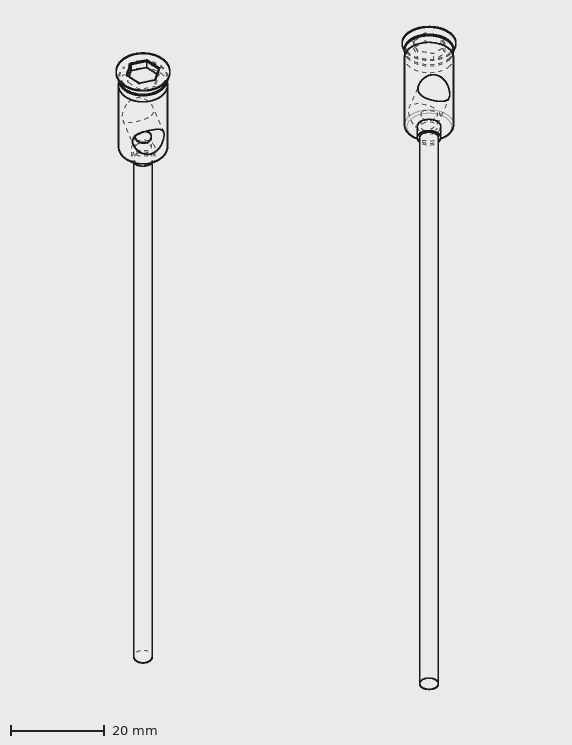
import cadquery as cq
import math

total_length = 172.5
head_length = 22.5
collar_length = 3.0

flange_diameter = 11.5
body_diameter = 10.5
groove_diameter = 9.9
collar_diameter = 5.0
shaft_diameter = 4.0

flange_rim = 0.2
ridge_depth = 1.7
ridge_height = 0.4
upper_groove_deepest = 1.1
lower_groove_width = 1.8

head_bottom_fillet = 0.5

hex_across_flats = 6.0
hex_bevel = 0.2
hex_depth = 2.0
axial_bore_diameter = 3.5
axial_bore_end_depth = head_length
cross_hole_diameter = 7.0
cross_hole_depth = 16.0


def turned_body():
    """Flanged head, collar and shaft as one revolved half profile."""
    flange_radius = flange_diameter / 2
    body_radius = body_diameter / 2
    groove_radius = groove_diameter / 2
    collar_radius = collar_diameter / 2
    shaft_radius = shaft_diameter / 2
    collar_end = head_length + collar_length
    ridge_bottom = ridge_depth + ridge_height
    lower_groove_deepest = ridge_bottom + lower_groove_width / 2
    body_top = ridge_bottom + lower_groove_width
    fillet_middle = head_bottom_fillet * (1 - math.sqrt(0.5))
    return (
        cq.Workplane("XZ")
        .lineTo(-flange_radius, 0)
        .lineTo(-flange_radius, -flange_rim)
        .threePointArc((-groove_radius, -upper_groove_deepest), (-body_radius, -ridge_depth))
        .lineTo(-body_radius, -ridge_bottom)
        .threePointArc((-groove_radius, -lower_groove_deepest), (-body_radius, -body_top))
        .lineTo(-body_radius, -(head_length - head_bottom_fillet))
        .threePointArc(
            (fillet_middle - body_radius, -(head_length - fillet_middle)),
            (head_bottom_fillet - body_radius, -head_length),
        )
        .lineTo(-collar_radius, -head_length)
        .lineTo(-collar_radius, -collar_end)
        .lineTo(-shaft_radius, -collar_end)
        .lineTo(-shaft_radius, -total_length)
        .lineTo(0, -total_length)
        .close()
        .revolve(360, (0, 0, 0), (0, 1, 0))
    )


def hexagon(across_flats):
    """Hexagon in the top face with two flats facing +X and -X."""
    across_corners = across_flats / math.cos(math.pi / 6)
    return cq.Workplane("XY").transformed(rotate=(0, 0, 90)).polygon(6, across_corners)


def hex_socket():
    """Blind hexagonal socket with a 45 degree bevel around its mouth."""
    socket = hexagon(hex_across_flats).extrude(-hex_depth)
    mouth = hexagon(hex_across_flats + 2 * hex_bevel).extrude(-hex_bevel, taper=45)
    return socket.union(mouth)


def cross_hole():
    """Round hole right through the head along X."""
    return (
        cq.Workplane("YZ")
        .center(0, -cross_hole_depth)
        .circle(cross_hole_diameter / 2)
        .extrude(body_diameter, both=True)
    )


def axial_bore():
    """Blind bore running down from the cross hole along the shaft axis."""
    return (
        cq.Workplane("XY", origin=(0, 0, -cross_hole_depth))
        .circle(axial_bore_diameter / 2)
        .extrude(cross_hole_depth - axial_bore_end_depth)
    )


result = turned_body().cut(hex_socket()).cut(cross_hole()).cut(axial_bore())